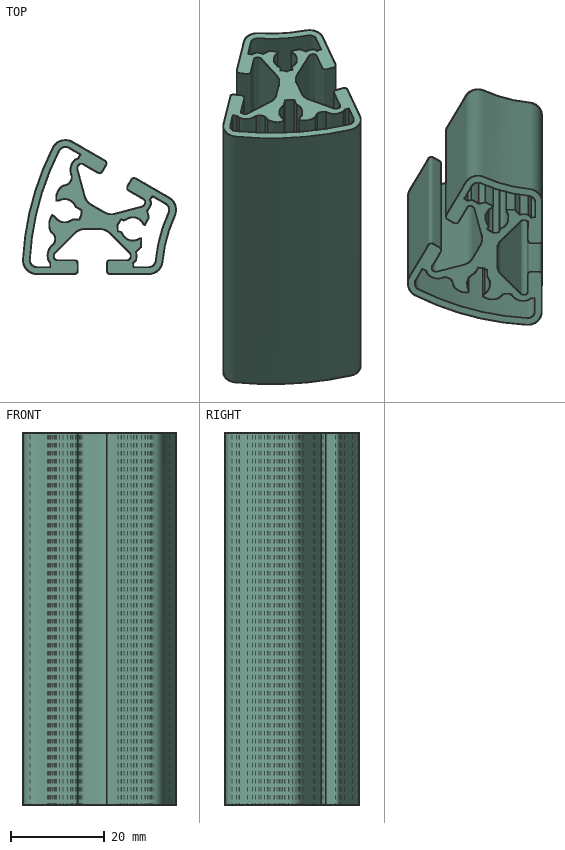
import cadquery as cq
import math

LENGTH = 80.0
SWEEP = 30.0
OUTER_RADIUS = 60.0
INNER_RADIUS = OUTER_RADIUS / 2
WALL = 1.5
CORNER_RADIUS = 2 * WALL
VOID_CORNER_RADIUS = WALL

PIVOT_X = (OUTER_RADIUS + INNER_RADIUS) / 2
HALF_SWEEP = math.radians(SWEEP / 2)

SLOT_HALF_WIDTH = 3.1
LIP_THICKNESS = 2 * WALL
LIP_ROUND = 0.7
CAVITY_HALF_WIDTH = 8.2
CAVITY_TOP_HALF_WIDTH = 2.9
CAVITY_DEPTH = 9.7
CAVITY_SIDE_HEIGHT = CAVITY_DEPTH - (CAVITY_HALF_WIDTH - CAVITY_TOP_HALF_WIDTH)
CAVITY_ROUND = 0.7
CAVITY_TOP_ROUND = 3.0
SELECTION_MARGIN = 0.8

SCREW_RADIUS = 2.5
OUTER_SCREW_X = -5.9
INNER_SCREW_X = 8.7
OUTER_FLOOR_X = -2.4
INNER_FLOOR_X = 5.4


def polar(radius, angle):
    """Point at a radius from the pivot, with the angle measured up from the lower face."""
    return (PIVOT_X - radius * math.cos(angle), radius * math.sin(angle))


def on_axis(x):
    """Point on the symmetry line at the given x."""
    return (x, (PIVOT_X - x) * math.tan(HALF_SWEEP))


def on_screw_channel(center_x, degrees):
    """Point on the screw channel circle centred on the symmetry line."""
    x, y = on_axis(center_x)
    angle = math.radians(degrees)
    return (x + SCREW_RADIUS * math.cos(angle), y + SCREW_RADIUS * math.sin(angle))


def mirrored(shape):
    """The shape reflected about the symmetry line."""
    pivot = (PIVOT_X, 0, 0)
    normal = cq.Vector(math.sin(HALF_SWEEP), math.cos(HALF_SWEEP), 0)
    return shape.mirror(normal, pivot)


def make_body():
    sweep = 2 * HALF_SWEEP
    return (
        cq.Workplane("XY")
        .moveTo(*polar(INNER_RADIUS, 0))
        .lineTo(*polar(OUTER_RADIUS, 0))
        .threePointArc(polar(OUTER_RADIUS, HALF_SWEEP), polar(OUTER_RADIUS, sweep))
        .lineTo(*polar(INNER_RADIUS, sweep))
        .threePointArc(polar(INNER_RADIUS, HALF_SWEEP), polar(INNER_RADIUS, 0))
        .close()
        .extrude(LENGTH)
        .edges("|Z")
        .fillet(CORNER_RADIUS)
    )


def make_slot_cavity():
    right_side = [
        (CAVITY_HALF_WIDTH, LIP_THICKNESS),
        (CAVITY_HALF_WIDTH, CAVITY_SIDE_HEIGHT),
        (CAVITY_TOP_HALF_WIDTH, CAVITY_DEPTH),
    ]
    left_side = [(-x, y) for x, y in reversed(right_side)]
    cavity = cq.Workplane("XY").polyline(right_side + left_side).close().extrude(LENGTH)
    cavity = cavity.edges("|Z").edges(">Y").fillet(CAVITY_TOP_ROUND)
    side_edges = cq.selectors.BoxSelector(
        (-CAVITY_HALF_WIDTH - SELECTION_MARGIN, LIP_THICKNESS - SELECTION_MARGIN, 0),
        (CAVITY_HALF_WIDTH + SELECTION_MARGIN, CAVITY_SIDE_HEIGHT + SELECTION_MARGIN, LENGTH),
    )
    return cavity.edges("|Z").edges(side_edges).fillet(CAVITY_ROUND)


def make_slot_mouth():
    return (
        cq.Workplane("XY")
        .rect(2 * SLOT_HALF_WIDTH, 2 * CAVITY_SIDE_HEIGHT)
        .extrude(LENGTH)
    )


def finish_void(outline, wall_radius, floor_x):
    """Close a half void along its curved wall and the symmetry line, rounding its corner."""
    corner_angle = math.asin(WALL / wall_radius)
    corner = polar(wall_radius, corner_angle)
    void = (
        outline.lineTo(*corner)
        .threePointArc(
            polar(wall_radius, (corner_angle + HALF_SWEEP) / 2),
            polar(wall_radius, HALF_SWEEP),
        )
        .lineTo(*on_axis(floor_x))
        .close()
        .extrude(LENGTH)
    )
    corner_edge = cq.selectors.NearestToPointSelector((*corner, LENGTH / 2))
    return void.edges("|Z").edges(corner_edge).fillet(VOID_CORNER_RADIUS)


def make_outer_half_void():
    outline = (
        cq.Workplane("XY")
        .moveTo(*on_axis(OUTER_FLOOR_X))
        .lineTo(-2.8, 11.8)
        .lineTo(-4.2, 11.8)
        .lineTo(*on_screw_channel(OUTER_SCREW_X, -65))
        .threePointArc(
            on_screw_channel(OUTER_SCREW_X, -100), on_screw_channel(OUTER_SCREW_X, -148)
        )
        .lineTo(-8.6, 12.7)
        .threePointArc((-9.3, 11.0), (-9.0, 9.2))
        .lineTo(-8.2, 8.5)
        .threePointArc((-8.0, 7.4), (-8.3, 6.5))
        .threePointArc((-9.6, 4.4), (-9.4, 3.0))
        .lineTo(-9.0, 2.4)
        .lineTo(-9.0, WALL)
    )
    return finish_void(outline, OUTER_RADIUS - WALL, OUTER_FLOOR_X)


def make_inner_half_void():
    outline = (
        cq.Workplane("XY")
        .moveTo(*on_axis(INNER_FLOOR_X))
        .lineTo(5.5, 9.2)
        .lineTo(6.2, 9.1)
        .lineTo(*on_screw_channel(INNER_SCREW_X, -156))
        .threePointArc(
            on_screw_channel(INNER_SCREW_X, -110), on_screw_channel(INNER_SCREW_X, -57)
        )
        .lineTo(10.6, 7.8)
        .lineTo(10.5, 5.8)
        .lineTo(9.4, 4.8)
        .threePointArc((9.5, 3.8), (9.4, 3.0))
        .lineTo(8.8, 2.4)
        .lineTo(8.9, WALL)
    )
    return finish_void(outline, INNER_RADIUS + WALL, INNER_FLOOR_X)


result = make_body()

cutters = [
    make_slot_mouth(),
    make_slot_cavity(),
    make_outer_half_void(),
    make_inner_half_void(),
]
for cutter in cutters:
    result = result.cut(cutter).cut(mirrored(cutter))

for side in (-SLOT_HALF_WIDTH, SLOT_HALF_WIDTH):
    for height in (0, LIP_THICKNESS):
        radius = math.hypot(PIVOT_X - side, height)
        angle = math.atan2(height, PIVOT_X - side)
        for lip_angle in (angle, 2 * HALF_SWEEP - angle):
            lip_edge = cq.selectors.NearestToPointSelector((*polar(radius, lip_angle), LENGTH / 2))
            result = result.edges("|Z").edges(lip_edge).fillet(LIP_ROUND)